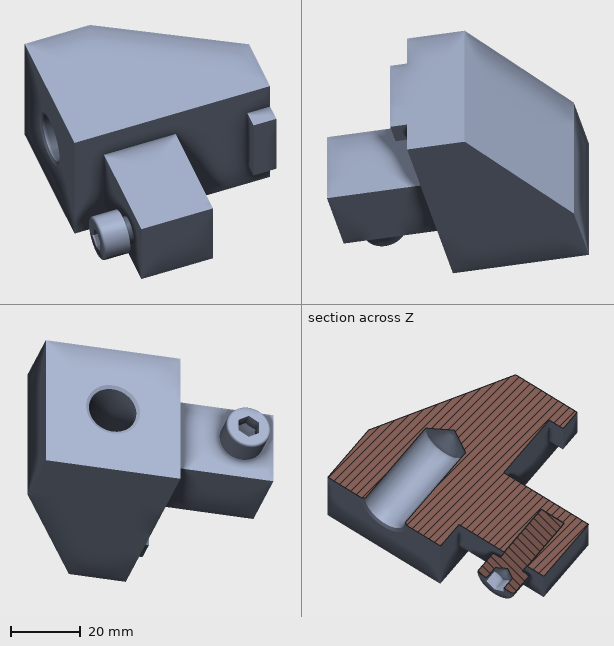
import cadquery as cq
import math

TOTAL_LENGTH = 70.0
BLOCK_SIZE = 40.0
BLOCK_DEPTH = 60.0
SLOPE_START = 20.0
SLOPE_ANGLE = 30.0
CENTRE_Z = BLOCK_SIZE / 2

ARM_SIZE = 22.0
ARM_FRONT = 9.0
LIP_LENGTH = 5.0
LIP_DEPTH = 7.0

BORE_DIAMETER = 14.1
BORE_MOUTH_DIAMETER = 16.0
BORE_MOUTH_DEPTH = 0.55
BORE_DEPTH = 30.0
DRILL_POINT_ANGLE = 118.0

HEAD_DIAMETER = 13.0
HEAD_LENGTH = 8.0
HEAD_PROTRUSION = 1.0
HEAD_FILLET = 0.8
SHANK_DIAMETER = 8.0
SHANK_LENGTH = 20.0
SOCKET_WIDTH = 6.0
SOCKET_DEPTH = 4.0
SCREW_X = TOTAL_LENGTH - 10.0

HEAD_FRONT = -HEAD_PROTRUSION
HEAD_BACK = HEAD_FRONT + HEAD_LENGTH
SOCKET_END = HEAD_FRONT + SOCKET_DEPTH


def cylinder(x, y, diameter, length):
    """Cylinder along +Y at mid height, starting at (x, y)."""
    return cq.Workplane(
        cq.Solid.makeCylinder(diameter / 2, length, cq.Vector(x, y, CENTRE_Z), cq.Vector(0, 1, 0))
    )


def cone(x, y, start_diameter, end_diameter, length):
    """Cone along +Y at mid height, starting at (x, y)."""
    return cq.Workplane(
        cq.Solid.makeCone(
            start_diameter / 2, end_diameter / 2, length, cq.Vector(x, y, CENTRE_Z), cq.Vector(0, 1, 0)
        )
    )


def drill_point_length(diameter):
    return diameter / 2 / math.tan(math.radians(DRILL_POINT_ANGLE / 2))


def make_bore():
    x = BLOCK_SIZE / 2
    return (
        cylinder(x, 0, BORE_DIAMETER, BORE_DEPTH)
        .union(cone(x, 0, BORE_MOUTH_DIAMETER, BORE_DIAMETER, BORE_MOUTH_DEPTH))
        .union(cone(x, BORE_DEPTH, BORE_DIAMETER, 0, drill_point_length(BORE_DIAMETER)))
    )


def make_shank():
    return cylinder(SCREW_X, HEAD_BACK, SHANK_DIAMETER, SHANK_LENGTH)


def make_holder():
    slope_end_x = (BLOCK_DEPTH - SLOPE_START) * math.tan(math.radians(SLOPE_ANGLE))
    block = (
        cq.Workplane("XY")
        .polyline([
            (0, 0),
            (BLOCK_SIZE, 0),
            (BLOCK_SIZE, BLOCK_DEPTH),
            (slope_end_x, BLOCK_DEPTH),
            (0, SLOPE_START),
        ])
        .close()
        .extrude(BLOCK_SIZE)
    )
    side_base = cq.Workplane("XY", origin=(BLOCK_SIZE, 0, CENTRE_Z - ARM_SIZE / 2))
    arm = (
        side_base.center(0, ARM_FRONT)
        .rect(TOTAL_LENGTH - BLOCK_SIZE, ARM_SIZE, centered=False)
        .extrude(ARM_SIZE)
    )
    lip = (
        side_base.center(0, BLOCK_DEPTH - LIP_DEPTH)
        .rect(LIP_LENGTH, LIP_DEPTH, centered=False)
        .extrude(ARM_SIZE)
    )
    return block.union(arm).union(lip).cut(make_bore()).cut(make_shank())


def make_socket():
    """Hexagonal recess with upright corners and a conical bottom."""
    corner_diameter = SOCKET_WIDTH / math.cos(math.radians(30))
    point_length = drill_point_length(corner_diameter)
    hexagon = (
        cq.Workplane("XZ", origin=(SCREW_X, HEAD_FRONT, CENTRE_Z))
        .transformed(rotate=(0, 0, 30))
        .polygon(6, corner_diameter)
        .extrude(-(SOCKET_DEPTH + point_length))
    )
    drilled_hole = cylinder(SCREW_X, HEAD_FRONT, corner_diameter, SOCKET_DEPTH).union(
        cone(SCREW_X, SOCKET_END, corner_diameter, 0, point_length)
    )
    return hexagon.intersect(drilled_hole)


def make_screw():
    head = cylinder(SCREW_X, HEAD_FRONT, HEAD_DIAMETER, HEAD_LENGTH).faces("<Y").edges().fillet(HEAD_FILLET)
    return head.union(make_shank()).cut(make_socket())


holder = make_holder()
screw = make_screw()
result = cq.Compound.makeCompound([holder.val(), screw.val()])